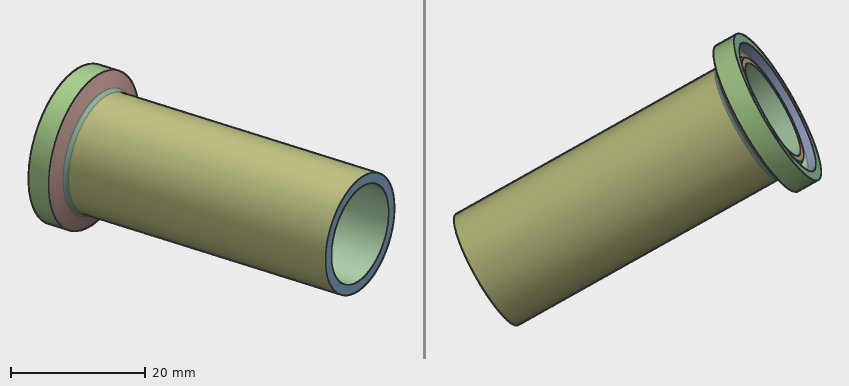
import cadquery as cq
import math

total_length = 50.8
flange_radius = 25.0 / 2
tube_radius = 19.05 / 2
bore_radius = 15.75 / 2

rim_width = 3.6
clamp_angle = math.radians(20)
blend_radius = 0.7

recess_radius = 21.9 / 2
lip_radius = 17.65 / 2
lip_recess = 0.8
lip_slope = math.radians(36)
groove_radius = 0.75


def arc_point(center, radius, angle):
    """Point on an arc in the (X, radial) half plane, angle measured from +X."""
    return (
        center[0] + radius * math.cos(angle),
        center[1] + radius * math.sin(angle),
    )


cone_end_angle = math.pi + clamp_angle
tube_start_angle = 1.5 * math.pi
blend_center_y = tube_radius + blend_radius
cone_end_y = blend_center_y + blend_radius * math.sin(cone_end_angle)
cone_end_x = rim_width + (flange_radius - cone_end_y) * math.tan(clamp_angle)
blend_center = (cone_end_x - blend_radius * math.cos(cone_end_angle), blend_center_y)
blend_middle_angle = (cone_end_angle + tube_start_angle) / 2

wall_end_angle = math.pi / 2
lip_foot_angle = lip_slope - math.pi / 2
groove_center_y = recess_radius - groove_radius
lip_foot_y = groove_center_y + groove_radius * math.sin(lip_foot_angle)
lip_foot_x = lip_recess + (lip_foot_y - lip_radius) / math.tan(lip_slope)
groove_center = (lip_foot_x - groove_radius * math.cos(lip_foot_angle), groove_center_y)
groove_middle_angle = (wall_end_angle + lip_foot_angle) / 2

half_section = (
    cq.Workplane("XY")
    .moveTo(0, flange_radius)
    .lineTo(rim_width, flange_radius)
    .lineTo(cone_end_x, cone_end_y)
    .threePointArc(
        arc_point(blend_center, blend_radius, blend_middle_angle),
        arc_point(blend_center, blend_radius, tube_start_angle),
    )
    .lineTo(total_length, tube_radius)
    .lineTo(total_length, bore_radius)
    .lineTo(lip_recess, bore_radius)
    .lineTo(lip_recess, lip_radius)
    .lineTo(lip_foot_x, lip_foot_y)
    .threePointArc(
        arc_point(groove_center, groove_radius, groove_middle_angle),
        arc_point(groove_center, groove_radius, wall_end_angle),
    )
    .lineTo(0, recess_radius)
    .close()
)

result = half_section.revolve(360, (0, 0, 0), (1, 0, 0))